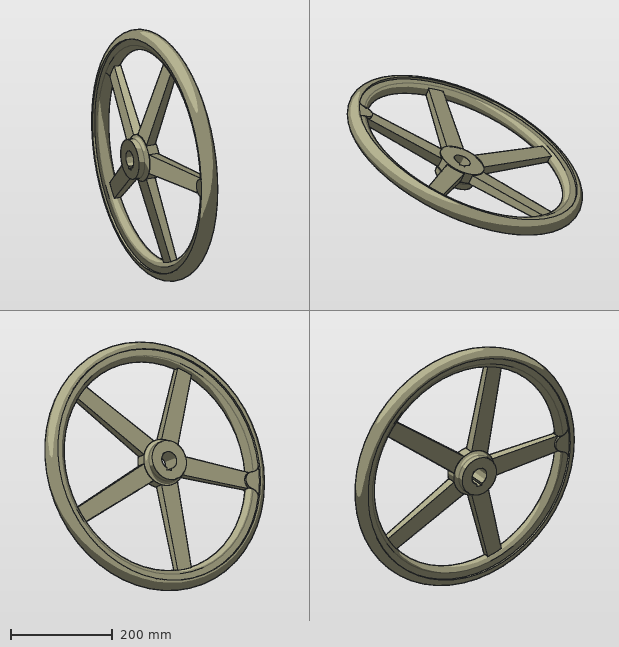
import cadquery as cq
import math

total_depth = 72.0

rim_radius = 250.0
rim_inner_radius = 210.0
rim_depth = 34.0
seat_outer_radius = 466.0 / 2
seat_inner_radius = 220.0
seat_recess = 5.0

hub_radius = 79.0 / 2
flange_radius = 46.5
flange_front = 52.0
cove_front = 59.5
hub_back = 29.5
bore_radius = 17.0
keyway_width = 11.0
keyway_reach = 20.5

spoke_count = 5
spoke_hub_width = 39.0
spoke_rim_width = 33.0
spoke_slope = 0.17
spoke_front = 51.0
spoke_hub_thickness = 20.0
spoke_rim_thickness = 14.0
spoke_inner_radius = 30.0
spoke_outer_radius = 215.0

boss_radius = 17.5
boss_center = 220.0
boss_recess = 4.5
boss_flare_radius = 17.5
boss_flare_offset = 6.0


def revolve_about_y(profile):
    return profile.close().revolve(360, (0, 0, 0), (0, 1, 0))


def make_rim():
    """Rounded rim section with a recessed flat seat on its front and back."""
    outer_round = rim_radius - seat_outer_radius
    middle = rim_depth / 2
    seat_depth = rim_depth - seat_recess
    profile = (
        cq.Workplane("XY")
        .moveTo(seat_inner_radius, -seat_recess)
        .lineTo(seat_outer_radius, -seat_recess)
        .lineTo(seat_outer_radius, 0)
        .threePointArc((seat_outer_radius + outer_round, -middle), (seat_outer_radius, -rim_depth))
        .lineTo(seat_outer_radius, -seat_depth)
        .lineTo(seat_inner_radius, -seat_depth)
        .threePointArc((rim_inner_radius, -middle), (seat_inner_radius, -seat_recess))
    )
    return revolve_about_y(profile)


def make_hub():
    """Stepped hub with a concave cove between flange and nose."""
    cove_bulge = math.sqrt(0.5)
    cove_width = flange_radius - hub_radius
    cove_length = cove_front - flange_front
    cove_middle = (
        flange_radius - cove_width * cove_bulge,
        -cove_front + cove_length * cove_bulge,
    )
    profile = (
        cq.Workplane("XY")
        .moveTo(0, -hub_back)
        .lineTo(flange_radius, -hub_back)
        .lineTo(flange_radius, -flange_front)
        .threePointArc(cove_middle, (hub_radius, -cove_front))
        .lineTo(hub_radius, -total_depth)
        .lineTo(0, -total_depth)
    )
    return revolve_about_y(profile)


def make_spoke():
    """Spoke along +X, sloping back to the rim and tapering in width and thickness."""
    front_inner = spoke_front + spoke_slope * (flange_radius - spoke_inner_radius)
    front_outer = spoke_front - spoke_slope * (spoke_outer_radius - flange_radius)

    def section(radius, front, width, thickness):
        return [
            cq.Vector(radius, -front, -width / 2),
            cq.Vector(radius, -front, width / 2),
            cq.Vector(radius, -front + thickness, width / 2),
            cq.Vector(radius, -front + thickness, -width / 2),
        ]

    inner = section(spoke_inner_radius, front_inner, spoke_hub_width, spoke_hub_thickness)
    outer = section(spoke_outer_radius, front_outer, spoke_rim_width, spoke_rim_thickness)
    wires = [cq.Wire.makePolygon(points, close=True) for points in (inner, outer)]
    blank = cq.Workplane(obj=cq.Solid.makeLoft(wires, True))
    front_limit = (
        cq.Workplane("XZ")
        .rect(2 * rim_radius, 2 * rim_radius)
        .extrude(flange_front)
    )
    return blank.intersect(front_limit)


def make_boss():
    """Round handle boss on the +X spoke, flaring into the rim seat."""
    reach = boss_radius + boss_flare_radius
    flare_x = boss_center - boss_flare_offset
    flare_z = math.sqrt(reach**2 - boss_flare_offset**2)
    tangent_x = boss_center - boss_flare_offset * boss_radius / reach
    tangent_z = flare_z * boss_radius / reach
    depth = rim_depth - 2 * boss_recess
    back_plane = cq.Workplane("XZ", origin=(0, -boss_recess, 0))
    disc = back_plane.center(boss_center, 0).circle(boss_radius).extrude(depth)
    web = (
        back_plane
        .polyline([
            (tangent_x, tangent_z),
            (flare_x, flare_z),
            (rim_radius, flare_z),
            (rim_radius, -flare_z),
            (flare_x, -flare_z),
            (tangent_x, -tangent_z),
        ])
        .close()
        .extrude(depth)
    )
    flares = (
        back_plane
        .pushPoints([(flare_x, flare_z), (flare_x, -flare_z)])
        .circle(boss_flare_radius)
        .extrude(depth)
    )
    seat_limit = back_plane.circle(seat_outer_radius).extrude(depth)
    return disc.union(web.cut(flares)).intersect(seat_limit)


def make_bore():
    """Through bore with a keyway on the -Z side."""
    bore = cq.Workplane("XZ").circle(bore_radius).extrude(total_depth)
    keyway = (
        cq.Workplane("XZ")
        .center(0, -keyway_reach / 2)
        .rect(keyway_width, keyway_reach)
        .extrude(total_depth)
    )
    return bore.union(keyway)


rim = make_rim()
spoke = make_spoke()
result = make_hub()
for index in range(spoke_count):
    angle = index * 360 / spoke_count
    result = result.union(spoke.rotate((0, 0, 0), (0, 1, 0), angle))
result = result.union(rim).union(make_boss()).cut(make_bore())